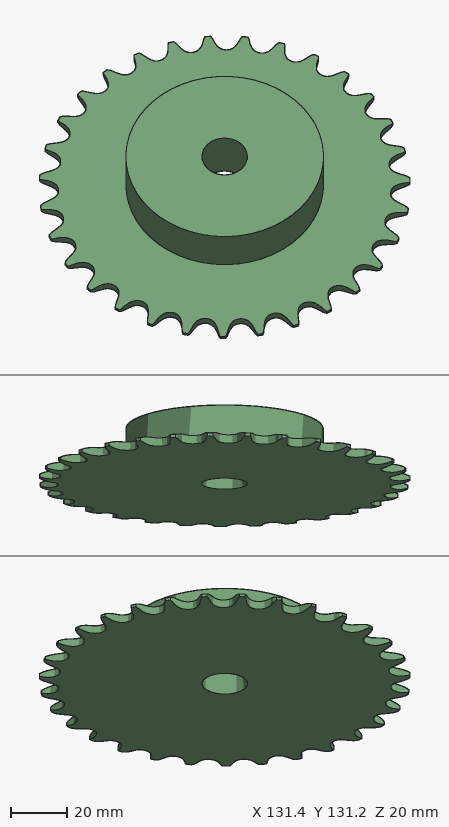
import cadquery as cq
import math

tooth_count = 31
pitch_diameter = 125.6
roller_diameter = 7.8
overall_width = 131.4
tip_corner_angle = 2.1
plate_thickness = 3.0
bevel_start_radius = 61.0
tip_thickness = 1.0
hub_diameter = 70.0
bore_diameter = 16.0
total_height = 20.0
cut_margin = 1.3

pitch_radius = pitch_diameter / 2
tip_radius = overall_width / 2 / math.cos(math.radians(tip_corner_angle))
seat_half_angle = math.radians(55 - 60 / tooth_count)
working_angle = math.radians(18 - 56 / tooth_count)
topping_angle = math.radians(17 - 64 / tooth_count)
flank_angle = seat_half_angle + working_angle
seat_radius = 0.505 * roller_diameter
working_radius = 1.3075 * roller_diameter
working_offset = 0.8 * roller_diameter
topping_offset = 1.4 * roller_diameter
flat_length = topping_offset * math.sin(topping_angle) - working_offset * math.sin(working_angle)
topping_radius = (
    working_offset * math.cos(working_angle)
    + topping_offset * math.cos(topping_angle)
    - working_radius
)
tooth_angle = 360 / tooth_count


def make_blank():
    """Disc whose rim tapers to the tip thickness along arcs tangent to both side faces."""
    taper_length = tip_radius - bevel_start_radius
    taper_depth = (plate_thickness - tip_thickness) / 2
    taper_radius = (taper_length**2 + taper_depth**2) / (2 * taper_depth)
    mid_angle = math.asin(taper_length / taper_radius) / 2
    mid_radius = bevel_start_radius + taper_radius * math.sin(mid_angle)
    mid_depth = taper_radius * (1 - math.cos(mid_angle))
    return (
        cq.Workplane("XZ")
        .lineTo(bevel_start_radius, 0)
        .threePointArc((mid_radius, mid_depth), (tip_radius, taper_depth))
        .lineTo(tip_radius, plate_thickness - taper_depth)
        .threePointArc(
            (mid_radius, plate_thickness - mid_depth),
            (bevel_start_radius, plate_thickness),
        )
        .lineTo(0, plate_thickness)
        .close()
        .revolve(360, (0, 0), (0, 1))
    )


def step(point, angle, distance):
    """Move from a point; the angle is measured from -Y toward +X."""
    return point[0] + distance * math.sin(angle), point[1] - distance * math.cos(angle)


def mirror(point):
    """Reflect a point across the Y axis."""
    return -point[0], point[1]


def make_gap_cutter():
    """Tooth gap centred on +Y, with its roller seat on the pitch circle."""
    roller_centre = (0, pitch_radius)
    seat_bottom = step(roller_centre, 0, seat_radius)
    seat_end = step(roller_centre, seat_half_angle, seat_radius)

    working_centre = step(seat_end, seat_half_angle, -working_radius)
    working_mid = step(working_centre, seat_half_angle + working_angle / 2, working_radius)
    working_end = step(working_centre, flank_angle, working_radius)

    flat_end = step(working_end, flank_angle + math.pi / 2, flat_length)
    topping_centre = step(flat_end, flank_angle, topping_radius)

    def topping_point(height):
        reach = math.sqrt(topping_radius**2 - (height - topping_centre[1]) ** 2)
        return topping_centre[0] - reach, height

    top_height = tip_radius + cut_margin
    topping_end = topping_point(top_height)
    topping_mid = topping_point((flat_end[1] + top_height) / 2)

    return (
        cq.Workplane("XY")
        .moveTo(*mirror(seat_end))
        .threePointArc(seat_bottom, seat_end)
        .threePointArc(working_mid, working_end)
        .lineTo(*flat_end)
        .threePointArc(topping_mid, topping_end)
        .lineTo(*mirror(topping_end))
        .threePointArc(mirror(topping_mid), mirror(flat_end))
        .lineTo(*mirror(working_end))
        .threePointArc(mirror(working_mid), mirror(seat_end))
        .close()
        .extrude(plate_thickness)
    )


sprocket = make_blank()
gap = make_gap_cutter()
for index in range(tooth_count):
    sprocket = sprocket.cut(gap.rotate((0, 0, 0), (0, 0, 1), index * tooth_angle))

hub = cq.Workplane("XY").circle(hub_diameter / 2).extrude(total_height)
bore = cq.Workplane("XY").circle(bore_diameter / 2).extrude(total_height)
result = sprocket.union(hub).cut(bore)